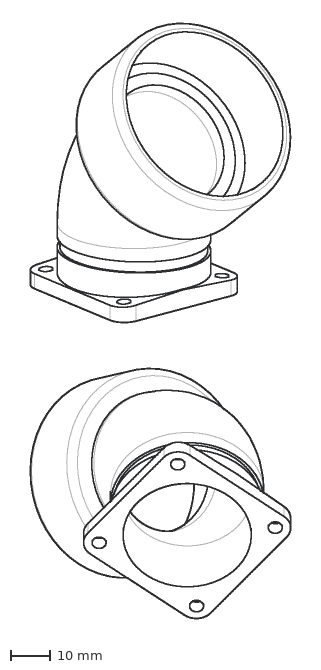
import cadquery as cq
import math

FLANGE_SIDE = 40.25
FLANGE_CORNER = 4.7
RIDGE_HEIGHT = 5.1
GABLE_SLOPE = 3.0
BOLT_PITCH = 31.9
BOLT_HOLE = 3.6

PIPE_RADIUS = 19.6
BORE_RADIUS = 16.3
COLLAR_TOP = 17.7
BEND_RADIUS = 29.1
BEND_ANGLE = 50.9
NECK = 1.0

GROOVE_HEIGHT = 12.1
GROOVE_WIDTH = 3.0
GROOVE_DEPTH = 0.75
GROOVE_TILT = 2.0

SOCKET_RADIUS = 25.8
SOCKET_LENGTH = 22.4
SOCKET_FLOOR = 3.1
SOCKET_FILLET = 2.0
MOUTH_RADIUS = 22.8
FLOOR_RADIUS = 22.4

bend_angle = math.radians(BEND_ANGLE)
outlet = cq.Plane(
    origin=(
        BEND_RADIUS * (1 - math.cos(bend_angle)),
        0,
        COLLAR_TOP + BEND_RADIUS * math.sin(bend_angle),
    ),
    xDir=(math.cos(bend_angle), 0, -math.sin(bend_angle)),
    normal=(math.sin(bend_angle), 0, math.cos(bend_angle)),
)


def make_flange():
    half = FLANGE_SIDE / 2
    eave_height = RIDGE_HEIGHT - half * math.tan(math.radians(GABLE_SLOPE))
    gable = [(-half, 0), (half, 0), (half, eave_height), (0, RIDGE_HEIGHT), (-half, eave_height)]
    return (
        cq.Workplane("YZ")
        .polyline(gable)
        .close()
        .extrude(half, both=True)
        .edges("|Z")
        .fillet(FLANGE_CORNER)
        .faces("<Z")
        .workplane()
        .rect(BOLT_PITCH, BOLT_PITCH, forConstruction=True)
        .vertices()
        .hole(BOLT_HOLE)
    )


def make_pipe_run(radius):
    """Solid round run through the collar, the bend and the straight end up to the socket floor."""
    collar = cq.Workplane("XY").circle(radius).extrude(COLLAR_TOP)
    bend = (
        cq.Workplane("XY", origin=(0, 0, COLLAR_TOP))
        .circle(radius)
        .revolve(BEND_ANGLE, (BEND_RADIUS, 0, 0), (BEND_RADIUS, 1, 0))
    )
    end = cq.Workplane(outlet).circle(radius).extrude(NECK + SOCKET_FLOOR)
    return collar.union(bend).union(end)


def make_groove():
    """Tilted ring that cuts the groove into the collar."""
    return (
        cq.Workplane("XY")
        .circle(PIPE_RADIUS + GROOVE_DEPTH)
        .circle(PIPE_RADIUS - GROOVE_DEPTH)
        .extrude(GROOVE_WIDTH / 2, both=True)
        .rotate((0, 0, 0), (1, 0, 0), -GROOVE_TILT)
        .translate((0, 0, GROOVE_HEIGHT))
    )


def make_elbow():
    blank = make_flange().union(make_pipe_run(PIPE_RADIUS))
    return blank.cut(make_groove()).cut(make_pipe_run(BORE_RADIUS))


def make_socket():
    base = cq.Workplane(outlet).workplane(offset=NECK)
    body = base.circle(SOCKET_RADIUS).extrude(SOCKET_LENGTH).edges().fillet(SOCKET_FILLET)
    pipe_hole = base.circle(PIPE_RADIUS).extrude(SOCKET_FLOOR)
    cup = (
        base.workplane(offset=SOCKET_FLOOR)
        .circle(FLOOR_RADIUS)
        .workplane(offset=SOCKET_LENGTH - SOCKET_FLOOR)
        .circle(MOUTH_RADIUS)
        .loft()
    )
    return body.cut(pipe_hole).cut(cup)


elbow = make_elbow()
socket = make_socket()

result = cq.Compound.makeCompound([elbow.solids().val(), socket.solids().val()])